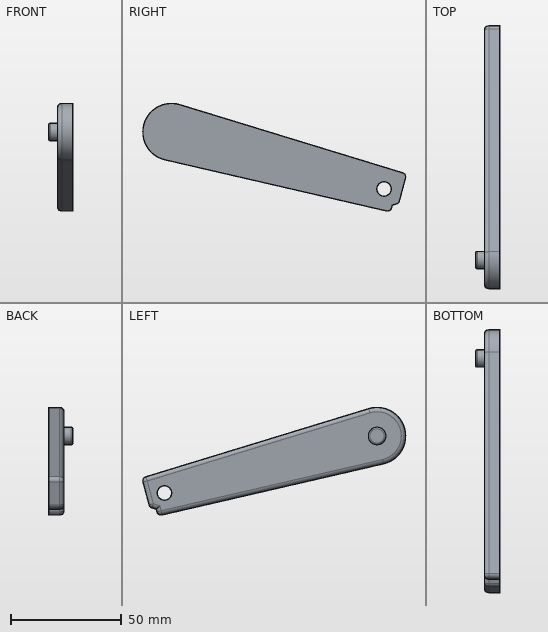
import cadquery as cq
import math

plate_thickness = 7.0
pivot_radius = 13.0
overall_length = 119.5
taper_angle = 2.0
droop_angle = 15.0
edge_radius = 2.0

taper = math.radians(taper_angle)
droop = math.radians(droop_angle)
corner_rise = (pivot_radius - edge_radius) / math.cos(taper) * math.sin(droop)
corner_reach = overall_length - pivot_radius - edge_radius - corner_rise
tip_distance = edge_radius + corner_reach / (math.cos(droop) - math.tan(taper) * math.sin(droop))

notch_depth = 2.6
notch_start = -4.5
notch_slope = 32.0

pin_diameter = 8.0
pin_length = 4.0
pin_rounding = 0.78
hole_diameter = 6.5
hole_distance = 100.0


def half_width(distance):
    """Half width of the tapered lever at a distance from the pivot."""
    return pivot_radius / math.cos(taper) - distance * math.tan(taper)


def make_plate():
    """Tapered plate along +Y, rounded at the pivot and notched at the tip."""
    tangent_y = pivot_radius * math.sin(taper)
    tangent_z = pivot_radius * math.cos(taper)
    notch_y = tip_distance - notch_depth
    notch_z = notch_start - notch_depth * math.tan(math.radians(notch_slope))
    plate = (
        cq.Workplane("YZ")
        .moveTo(tangent_y, tangent_z)
        .threePointArc((-pivot_radius, 0), (tangent_y, -tangent_z))
        .lineTo(notch_y, -half_width(notch_y))
        .lineTo(notch_y, notch_z)
        .lineTo(tip_distance, notch_start)
        .lineTo(tip_distance, half_width(tip_distance))
        .close()
        .extrude(plate_thickness)
    )
    tip_corners = [
        (notch_y, -half_width(notch_y)),
        (tip_distance, notch_start),
        (tip_distance, half_width(tip_distance)),
    ]
    rounded_edges = plate.faces("<X").edges()
    for y, z in tip_corners:
        corner = cq.selectors.NearestToPointSelector((plate_thickness / 2, y, z))
        rounded_edges = rounded_edges.add(plate.edges("|X").edges(corner))
    return rounded_edges.fillet(edge_radius)


def make_pin():
    """Pivot pin standing out of the front (-X) face, with a rounded end."""
    return (
        cq.Workplane("YZ")
        .circle(pin_diameter / 2)
        .extrude(-pin_length)
        .faces("<X")
        .edges()
        .fillet(pin_rounding)
    )


def make_tip_hole():
    """Cutter for the through hole near the tip."""
    return (
        cq.Workplane("YZ")
        .center(hole_distance, 0)
        .circle(hole_diameter / 2)
        .extrude(plate_thickness)
    )


lever = make_plate().union(make_pin()).cut(make_tip_hole())
result = lever.rotate((0, 0, 0), (1, 0, 0), -droop_angle)